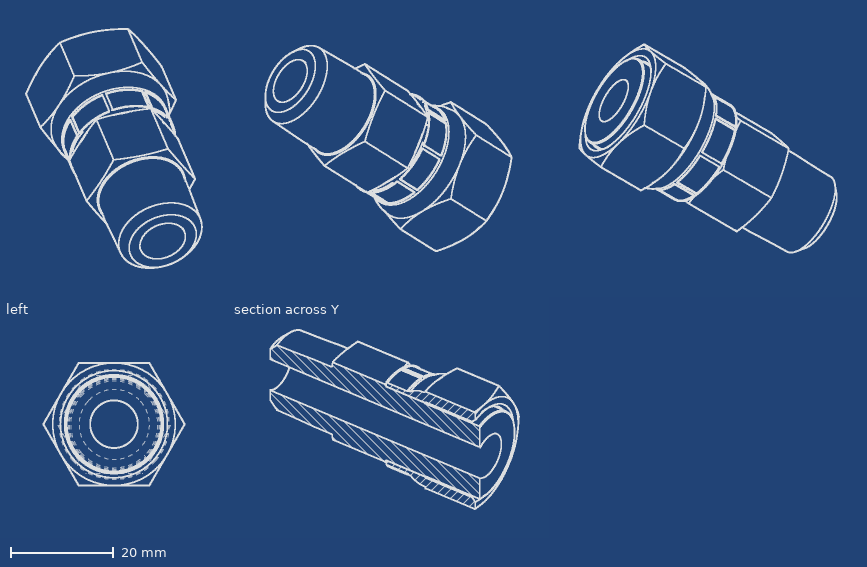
import cadquery as cq
import math

body_length = 49.55
nut_front_x = 1.1
nut_hex_end_x = 13.1
dome_end_x = 16.45
panel_start_x = 17.05
panel_end_x = 21.85
nut_back_x = 22.15
body_hex_start_x = 22.25
body_hex_end_x = 34.85
collar_start_x = 35.05
taper_start_x = 39.15
tip_chamfer = 1.65

nut_corner_diameter = 27.5
nut_flat_radius = nut_corner_diameter / 2 * math.cos(math.radians(30))
nut_chamfer_angle = 30
tail_radius = 10.7
panel_radius = 10.5
rib_count = 8
rib_width = 0.75
rib_start_angle = 12.5
nut_bore_radius = 9.6
nut_mouth_radius = 10.4

body_flats = 19.05
body_hex_corner_diameter = body_flats / math.cos(math.radians(30))
body_chamfer_angle = 15
sleeve_radius = 9.35
sleeve_chamfer = 0.2
collar_radius = 8.7
collar_flare = collar_start_x - body_hex_end_x
thread_taper = 1 / 32
through_hole_radius = 4.6


def cylinder(start_x, end_x, radius):
    """Cylinder on the X axis."""
    return cq.Workplane("YZ", origin=(start_x, 0, 0)).circle(radius).extrude(end_x - start_x)


def revolve_about_x(outline):
    """Turn a closed outline, drawn as X against radius, about the X axis."""
    return outline.close().revolve(360, (0, 0, 0), (1, 0, 0))


def chamfered_hex(start_x, end_x, corner_diameter, chamfer_angle):
    """Hexagonal prism with corners on the Y axis, both ends turned down to the flats."""
    length = end_x - start_x
    corner_radius = corner_diameter / 2
    flat_radius = corner_radius * math.cos(math.radians(30))
    setback = (corner_radius - flat_radius) * math.tan(math.radians(chamfer_angle))
    prism = cq.Workplane("YZ", origin=(start_x, 0, 0)).polygon(6, corner_diameter).extrude(length)
    turned_blank = revolve_about_x(
        cq.Workplane("XY")
        .moveTo(start_x, 0)
        .lineTo(start_x, flat_radius)
        .lineTo(start_x + setback, corner_radius)
        .lineTo(end_x - setback, corner_radius)
        .lineTo(end_x, flat_radius)
        .lineTo(end_x, 0)
    )
    return prism.intersect(turned_blank)


def nut_tail():
    """Round tail behind the nut's hexagon: a dome, then a cylinder with a rounded end."""
    dome_length = dome_end_x - nut_hex_end_x
    dome_drop = nut_flat_radius - tail_radius
    dome_arc_radius = (dome_length**2 + dome_drop**2) / (2 * dome_drop)
    half_sweep = math.asin(dome_length / dome_arc_radius) / 2
    dome_middle = (
        nut_hex_end_x + dome_arc_radius * math.sin(half_sweep),
        nut_flat_radius - dome_arc_radius * (1 - math.cos(half_sweep)),
    )
    end_round = nut_back_x - panel_end_x
    round_inset = end_round * (1 - math.sqrt(0.5))
    return revolve_about_x(
        cq.Workplane("XY")
        .moveTo(nut_hex_end_x, 0)
        .lineTo(nut_hex_end_x, nut_flat_radius)
        .threePointArc(dome_middle, (dome_end_x, tail_radius))
        .lineTo(panel_end_x, tail_radius)
        .threePointArc(
            (nut_back_x - round_inset, tail_radius - round_inset),
            (nut_back_x, tail_radius - end_round),
        )
        .lineTo(nut_back_x, 0)
    )


def panel_recesses():
    """Shallow band around the tail, divided into panels by evenly spaced ribs."""
    band = cylinder(panel_start_x, panel_end_x, nut_flat_radius)
    band = band.cut(cylinder(panel_start_x, panel_end_x, panel_radius))
    rib = cq.Workplane("XY").box(
        panel_end_x - panel_start_x, rib_width, nut_flat_radius, centered=(False, True, False)
    ).translate((panel_start_x, 0, 0))
    for index in range(rib_count):
        angle = rib_start_angle + index * 360 / rib_count
        band = band.cut(rib.rotate((0, 0, 0), (1, 0, 0), angle))
    return band


def nut_bore():
    """Countersunk clearance bore under the hexagon, coned down to a close fit on the sleeve."""
    mouth_depth = nut_mouth_radius - nut_bore_radius
    sleeve_gap = nut_bore_radius - sleeve_radius
    return revolve_about_x(
        cq.Workplane("XY")
        .moveTo(nut_front_x, 0)
        .lineTo(nut_front_x, nut_mouth_radius)
        .lineTo(nut_front_x + mouth_depth, nut_bore_radius)
        .lineTo(nut_hex_end_x - sleeve_gap, nut_bore_radius)
        .lineTo(nut_hex_end_x, sleeve_radius)
        .lineTo(nut_back_x, sleeve_radius)
        .lineTo(nut_back_x, 0)
    )


def make_swivel_nut():
    nut = chamfered_hex(nut_front_x, nut_hex_end_x, nut_corner_diameter, nut_chamfer_angle)
    return nut.union(nut_tail()).cut(panel_recesses()).cut(nut_bore())


def make_body():
    """Sleeve, wrench hexagon and tapered pipe end, bored through."""
    taper_end_x = body_length - tip_chamfer
    taper_end_radius = collar_radius - (taper_end_x - taper_start_x) * thread_taper
    turned = revolve_about_x(
        cq.Workplane("XY")
        .moveTo(0, 0)
        .lineTo(0, sleeve_radius - sleeve_chamfer)
        .lineTo(sleeve_chamfer, sleeve_radius)
        .lineTo(body_hex_end_x, sleeve_radius)
        .lineTo(body_hex_end_x, collar_radius + collar_flare)
        .lineTo(collar_start_x, collar_radius)
        .lineTo(taper_start_x, collar_radius)
        .lineTo(taper_end_x, taper_end_radius)
        .lineTo(body_length, taper_end_radius - tip_chamfer)
        .lineTo(body_length, 0)
    )
    wrench_hex = chamfered_hex(
        body_hex_start_x, body_hex_end_x, body_hex_corner_diameter, body_chamfer_angle
    )
    return turned.union(wrench_hex).cut(cylinder(0, body_length, through_hole_radius))


swivel_nut = make_swivel_nut()
body = make_body()
result = cq.Compound.makeCompound([swivel_nut.val(), body.val()])